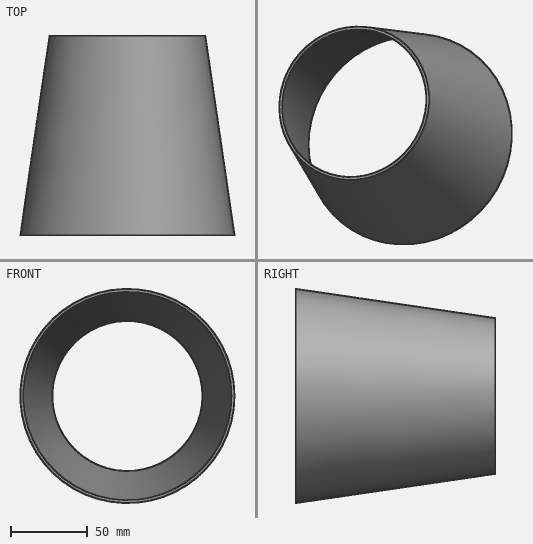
import cadquery as cq

large_diameter = 139.7
small_diameter = 101.6
wall_thickness = 2.0
length = 130.0

large_outer_radius = large_diameter / 2
small_outer_radius = small_diameter / 2
large_inner_radius = large_outer_radius - wall_thickness
small_inner_radius = small_outer_radius - wall_thickness


def make_reducer():
    """Revolve the slanted wall section about the Y axis."""
    wall_section = (
        cq.Workplane("XY")
        .moveTo(large_inner_radius, 0)
        .lineTo(large_outer_radius, 0)
        .lineTo(small_outer_radius, length)
        .lineTo(small_inner_radius, length)
        .close()
    )
    return wall_section.revolve(360, (0, 0, 0), (0, 1, 0))


result = make_reducer()